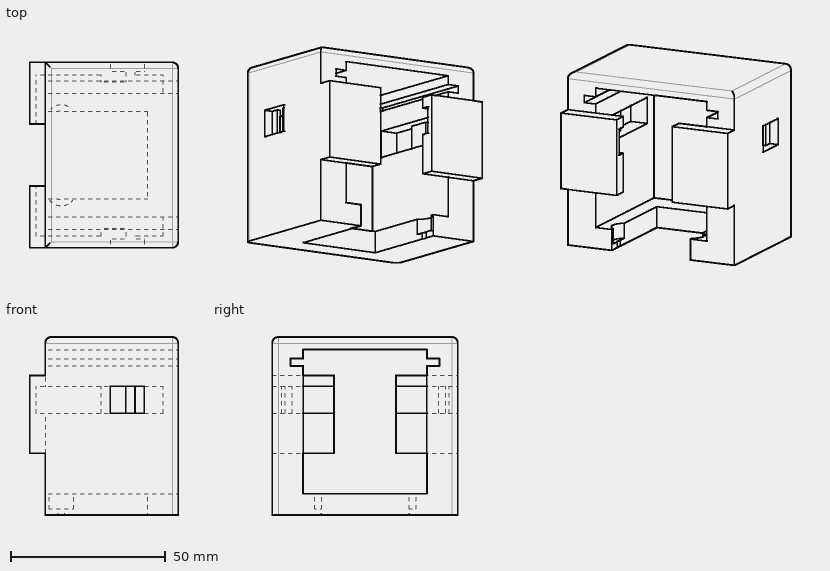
import cadquery as cq

TOTAL_LENGTH = 48.0
WIDTH = 60.0
HEIGHT = 57.6
TAB_THICKNESS = 5.0
EDGE_RADIUS = 2.0

CAVITY_WIDTH = 40.0
FLOOR_THICKNESS = 7.0
ROOF_THICKNESS = 4.1

GROOVE_BOTTOM = 48.2
GROOVE_HEIGHT = 2.4
GROOVE_DEPTH = 4.0

TAB_BOTTOM = 20.0
TAB_HEIGHT = 25.2
TAB_GAP = 20.0

OPENING_WIDTH = 28.3
OPENING_REAR_WALL = 10.0
HOLE_FROM_FRONT = 5.1
HOLE_SPACING = 23.2
HOLE_DIAMETER = 5.5
COUNTERBORE_DIAMETER = 9.5
COUNTERBORE_DEPTH = 5.0

WINDOW_START = 26.0
WINDOW_LENGTH = 11.0
WINDOW_DEPTH = 3.0
WINDOW_BOTTOM = 32.95
WINDOW_HEIGHT = 8.7
SLOT_START = 31.1
SLOT_WIDTH = 2.9

TAB_SKIN = 2.0
POCKET_DEPTH = 6.0
RIB_START = 23.0
RIB_POCKET_DEPTH = 3.7
POCKET_REAR_WALL = 5.0

FRONT = TAB_THICKNESS
HALF_WIDTH = WIDTH / 2
HALF_CAVITY = CAVITY_WIDTH / 2
HALF_TAB_GAP = TAB_GAP / 2
CAVITY_HEIGHT = HEIGHT - FLOOR_THICKNESS - ROOF_THICKNESS
WINDOW_FLOOR = HALF_WIDTH - WINDOW_DEPTH
POCKET_WALL = HALF_CAVITY + POCKET_DEPTH
RIB_FACE = HALF_CAVITY + RIB_POCKET_DEPTH
POCKET_END = TOTAL_LENGTH - POCKET_REAR_WALL


def block(x_start, x_end, y_start, y_end, z_start, height):
    """Axis-aligned block given by its limits in X and Y, base level and height."""
    size_x = x_end - x_start
    size_y = y_end - y_start
    corner = (x_start, y_start, z_start)
    return cq.Workplane("XY").box(size_x, size_y, height, centered=False).translate(corner)


def centered_block(x_start, x_end, width, z_start, height):
    """Block centred on the Y = 0 plane."""
    return block(x_start, x_end, -width / 2, width / 2, z_start, height)


def both_sides(shape):
    """The shape together with its mirror image across the Y = 0 plane."""
    return shape.union(shape.mirror("XZ"))


def make_body():
    """Outer block, rounded along the top and the two rear uprights."""
    body = centered_block(FRONT, TOTAL_LENGTH, WIDTH, 0, HEIGHT)
    return body.edges(">Z or (|Z and >X)").fillet(EDGE_RADIUS)


def make_cavity():
    """Through cavity with a groove in each wall."""
    cavity = centered_block(FRONT, TOTAL_LENGTH, CAVITY_WIDTH, FLOOR_THICKNESS, CAVITY_HEIGHT)
    groove_width = CAVITY_WIDTH + 2 * GROOVE_DEPTH
    grooves = centered_block(FRONT, TOTAL_LENGTH, groove_width, GROOVE_BOTTOM, GROOVE_HEIGHT)
    return cavity.union(grooves)


def make_tabs():
    """Front tabs, flush with the outer sides and overhanging the cavity."""
    return both_sides(block(0, FRONT, HALF_TAB_GAP, HALF_WIDTH, TAB_BOTTOM, TAB_HEIGHT))


def make_floor_opening():
    """Rectangular opening through the floor, open at the front."""
    opening_end = TOTAL_LENGTH - OPENING_REAR_WALL
    return centered_block(FRONT, opening_end, OPENING_WIDTH, 0, FLOOR_THICKNESS)


def make_floor_holes():
    """Counterbored holes overlapping the sides of the floor opening."""
    center = cq.Workplane("XY").center(FRONT + HOLE_FROM_FRONT, HOLE_SPACING / 2)
    hole = center.circle(HOLE_DIAMETER / 2).extrude(FLOOR_THICKNESS)
    counterbore = center.circle(COUNTERBORE_DIAMETER / 2).extrude(COUNTERBORE_DEPTH)
    counterbore = counterbore.translate((0, 0, FLOOR_THICKNESS - COUNTERBORE_DEPTH))
    return both_sides(hole.union(counterbore))


def window_cut(x_start, x_end, y_start, y_end):
    """Cut within the height band shared by the windows and pockets."""
    return block(x_start, x_end, y_start, y_end, WINDOW_BOTTOM, WINDOW_HEIGHT)


def make_windows():
    """Side windows, each joined by a narrow slot to the pocket behind it."""
    window_end = WINDOW_START + WINDOW_LENGTH
    window = window_cut(WINDOW_START, window_end, WINDOW_FLOOR, HALF_WIDTH)
    slot = window_cut(SLOT_START, SLOT_START + SLOT_WIDTH, HALF_CAVITY, WINDOW_FLOOR)
    return both_sides(window.union(slot))


def make_pockets():
    """Wall pockets, reaching forward into the backs of the tabs."""
    tab_recess = window_cut(TAB_SKIN, FRONT, HALF_TAB_GAP, POCKET_WALL)
    front_pocket = window_cut(FRONT, RIB_START, HALF_CAVITY, POCKET_WALL)
    rib_pocket = window_cut(RIB_START, SLOT_START, HALF_CAVITY, RIB_FACE)
    rear_pocket = window_cut(SLOT_START, POCKET_END, HALF_CAVITY, POCKET_WALL)
    return both_sides(tab_recess.union(front_pocket).union(rib_pocket).union(rear_pocket))


result = make_body().cut(make_cavity()).union(make_tabs())
result = result.cut(make_floor_opening()).cut(make_floor_holes())
result = result.cut(make_windows()).cut(make_pockets())